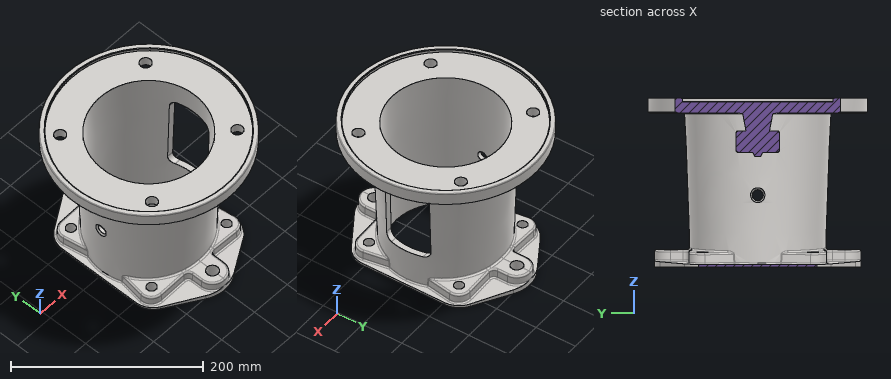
import cadquery as cq
import math

TOTAL_HEIGHT = 176.21

FLANGE_RADIUS = 114.3
FLANGE_THICKNESS = 16.2
FLANGE_BACK_CHAMFER_RADIAL = 3.0
FLANGE_BACK_CHAMFER_AXIAL = 1.5
FLANGE_RIM_FILLET = 0.8
PILOT_RADIUS = 107.95
PILOT_DEPTH = 4.0
PILOT_CHAMFER = 0.8
MOTOR_BOLT_CIRCLE_RADIUS = 92.1
MOTOR_BOLT_HOLE_DIAMETER = 13.5

BARREL_TOP_RADIUS = 76.3
BARREL_BOTTOM_RADIUS = 70.5
BARREL_NECK_FILLET = 1.2
BORE_TOP_RADIUS = 68.6
BORE_BOTTOM_RADIUS = 63.5

RIDGE_SLOPE = math.radians(3.0)
PLATE_RIDGE_HEIGHT = 7.0
PLATE_SIDE_X = 76.3
PLATE_CORNER_RADIUS = 28.0
PLATE_CORNER_CENTER_X = PLATE_SIDE_X - PLATE_CORNER_RADIUS
PLATE_CORNER_CENTER_Y = 52.0
PLATE_END_RADIUS = 41.0
PLATE_END_Y = 107.4

BOSS_RIDGE_HEIGHT = 18.8
BOSS_EDGE_FILLET = 2.0
BARREL_ROOT_FILLET = 2.0
BOSS_ROOT_FILLET = 1.6
BOSS_INSIDE_FILLET = 6.0
CORNER_BOLT_OFFSET = 57.25
CORNER_BOLT_HOLE_DIAMETER = 11.5
CORNER_BOSS_RADIUS = 14.2
CORNER_BOSS_SIDE_TILT = math.radians(9.0)
END_BOLT_OFFSET = 90.5
END_BOLT_HOLE_DIAMETER = 14.3
END_BOSS_RADIUS = PLATE_END_Y - END_BOLT_OFFSET

WINDOW_WIDTH = 56.0
WINDOW_BOTTOM_Z = 45.3
WINDOW_TOP_Z = 143.5
WINDOW_CORNER_RADIUS = 8.0

SIDE_HOLE_Z = 75.0
SIDE_HOLE_DIAMETER = 11.0
SIDE_HOLE_MOUTH_DIAMETER = 15.5
PAD_WIDTH = 45.5
PAD_BOTTOM_Z = 119.4
PAD_HEIGHT = 22.6
PAD_FACE_X = -76.3
PAD_CORNER_RADIUS = 3.0

STUB_HEIGHT = 40.0
TOLERANCE = 0.01
FLANGE_BOTTOM_Z = TOTAL_HEIGHT - FLANGE_THICKNESS
PILOT_FLOOR_Z = TOTAL_HEIGHT - PILOT_DEPTH


def barrel_radius(z):
    """Outer radius of the tapered barrel at height z."""
    return BARREL_BOTTOM_RADIUS + (BARREL_TOP_RADIUS - BARREL_BOTTOM_RADIUS) * z / FLANGE_BOTTOM_Z


def cylinder(radius, height, x=0, y=0, z=0):
    """Vertical cylinder standing on height z."""
    return cq.Workplane("XY", origin=(x, y, z)).circle(radius).extrude(height)


def make_flange_and_barrel():
    """Revolved flange and tapered barrel, still without the bore."""
    body = (
        cq.Workplane("XZ")
        .lineTo(BARREL_BOTTOM_RADIUS, 0)
        .lineTo(BARREL_TOP_RADIUS, FLANGE_BOTTOM_Z)
        .lineTo(FLANGE_RADIUS - FLANGE_BACK_CHAMFER_RADIAL, FLANGE_BOTTOM_Z)
        .lineTo(FLANGE_RADIUS, FLANGE_BOTTOM_Z + FLANGE_BACK_CHAMFER_AXIAL)
        .lineTo(FLANGE_RADIUS, TOTAL_HEIGHT)
        .lineTo(PILOT_RADIUS, TOTAL_HEIGHT)
        .lineTo(PILOT_RADIUS, PILOT_FLOOR_Z)
        .lineTo(0, PILOT_FLOOR_Z)
        .close()
        .revolve(360, (0, 0, 0), (0, 1, 0))
    )
    rim_outer = cq.selectors.RadiusNthSelector(-1)
    body = body.faces(">Z").edges(rim_outer).fillet(FLANGE_RIM_FILLET)
    rim_inner = cq.selectors.RadiusNthSelector(0)
    body = body.faces(">Z").edges(rim_inner).chamfer(PILOT_CHAMFER)
    neck = cq.selectors.BoxSelector(
        (-FLANGE_RADIUS, -FLANGE_RADIUS, FLANGE_BOTTOM_Z - 1),
        (FLANGE_RADIUS, FLANGE_RADIUS, FLANGE_BOTTOM_Z + 0.1),
    )
    return body.edges(neck).edges(cq.selectors.RadiusNthSelector(0)).fillet(BARREL_NECK_FILLET)


def sloped_block(ridge_height):
    """Wide block whose flat top has the ridge height at X = 0 and falls toward +X."""
    reach = 1.5 * FLANGE_RADIUS
    drop = reach * math.tan(RIDGE_SLOPE)
    depth = 2 * drop
    return (
        cq.Workplane("XZ")
        .moveTo(-reach, -depth)
        .lineTo(reach, -depth)
        .lineTo(reach, ridge_height - drop)
        .lineTo(-reach, ridge_height + drop)
        .close()
        .extrude(reach, both=True)
    )


def plate_tangent_normal():
    """Outward normal of the line touching the +X+Y corner arc and the +Y end arc."""
    to_end_x = -PLATE_CORNER_CENTER_X
    to_end_y = PLATE_END_Y - PLATE_END_RADIUS - PLATE_CORNER_CENTER_Y
    distance = math.hypot(to_end_x, to_end_y)
    angle = math.atan2(to_end_y, to_end_x) - math.acos((PLATE_CORNER_RADIUS - PLATE_END_RADIUS) / distance)
    return math.cos(angle), math.sin(angle)


def make_plate_outline(height):
    """Prism of the six-cornered plate with rounded corners and broad rounded ends."""
    nx, ny = plate_tangent_normal()
    corner_x = PLATE_CORNER_CENTER_X + PLATE_CORNER_RADIUS * nx
    corner_y = PLATE_CORNER_CENTER_Y + PLATE_CORNER_RADIUS * ny
    end_x = PLATE_END_RADIUS * nx
    end_y = PLATE_END_Y - PLATE_END_RADIUS * (1 - ny)
    return (
        cq.Workplane("XY")
        .moveTo(PLATE_SIDE_X, PLATE_CORNER_CENTER_Y)
        .radiusArc((corner_x, corner_y), -PLATE_CORNER_RADIUS)
        .lineTo(end_x, end_y)
        .threePointArc((0, PLATE_END_Y), (-end_x, end_y))
        .lineTo(-corner_x, corner_y)
        .radiusArc((-PLATE_SIDE_X, PLATE_CORNER_CENTER_Y), -PLATE_CORNER_RADIUS)
        .lineTo(-PLATE_SIDE_X, -PLATE_CORNER_CENTER_Y)
        .radiusArc((-corner_x, -corner_y), -PLATE_CORNER_RADIUS)
        .lineTo(-end_x, -end_y)
        .threePointArc((0, -PLATE_END_Y), (end_x, -end_y))
        .lineTo(corner_x, -corner_y)
        .radiusArc((PLATE_SIDE_X, -PLATE_CORNER_CENTER_Y), -PLATE_CORNER_RADIUS)
        .close()
        .extrude(height)
    )


def make_end_bosses():
    """Two corner bosses and an end boss joined across the +Y end of the plate."""
    reach = CORNER_BOLT_OFFSET + CORNER_BOSS_RADIUS
    side_x = CORNER_BOLT_OFFSET + CORNER_BOSS_RADIUS * math.cos(CORNER_BOSS_SIDE_TILT)
    side_y = CORNER_BOLT_OFFSET - CORNER_BOSS_RADIUS * math.sin(CORNER_BOSS_SIDE_TILT)
    inner_y = 15.0
    inner_x = side_x - (side_y - inner_y) * math.tan(CORNER_BOSS_SIDE_TILT)
    bosses = (
        cq.Workplane("XY")
        .moveTo(-inner_x, inner_y)
        .lineTo(-side_x, side_y)
        .radiusArc((-CORNER_BOLT_OFFSET, reach), CORNER_BOSS_RADIUS)
        .lineTo(-END_BOSS_RADIUS, reach)
        .lineTo(-END_BOSS_RADIUS, END_BOLT_OFFSET)
        .threePointArc((0, PLATE_END_Y), (END_BOSS_RADIUS, END_BOLT_OFFSET))
        .lineTo(END_BOSS_RADIUS, reach)
        .lineTo(CORNER_BOLT_OFFSET, reach)
        .radiusArc((side_x, side_y), CORNER_BOSS_RADIUS)
        .lineTo(inner_x, inner_y)
        .close()
        .extrude(2 * BOSS_RIDGE_HEIGHT)
    )
    notch = cq.selectors.BoxSelector(
        (-END_BOSS_RADIUS - 1, reach - 1, 0), (END_BOSS_RADIUS + 1, reach + 1, 2 * BOSS_RIDGE_HEIGHT)
    )
    bosses = bosses.edges("|Z").edges(notch).fillet(BOSS_INSIDE_FILLET)
    return bosses.intersect(sloped_block(BOSS_RIDGE_HEIGHT))


def sloped_faces(body):
    """Flat faces of the body that are parallel to the +X side of the ridge."""
    normal = cq.Vector(math.sin(RIDGE_SLOPE), 0, math.cos(RIDGE_SLOPE))
    return body.faces(cq.selectors.DirectionSelector(normal)).vals()


def is_on_barrel(edge):
    """True if the edge starts and passes halfway on the outer surface of the barrel."""
    points = (edge.startPoint(), edge.positionAt(0.5))
    return all(abs(math.hypot(p.x, p.y) - barrel_radius(p.z)) < TOLERANCE for p in points)


def make_foot_half():
    """The +X half of the plate with its bosses and the root of the barrel."""
    stub = (
        cq.Workplane("XZ")
        .lineTo(barrel_radius(0), 0)
        .lineTo(barrel_radius(STUB_HEIGHT), STUB_HEIGHT)
        .lineTo(0, STUB_HEIGHT)
        .close()
        .revolve(360, (0, 0, 0), (0, 1, 0))
    )
    end_bosses = make_end_bosses()
    foot = stub.union(end_bosses).union(end_bosses.mirror("XZ"))
    rim = [edge for face in sloped_faces(foot) for edge in face.Edges() if not is_on_barrel(edge)]
    foot = foot.newObject(rim).fillet(BOSS_EDGE_FILLET)
    seam = [
        edge for edge in foot.edges().vals()
        if is_on_barrel(edge) and 0.5 * PLATE_RIDGE_HEIGHT < edge.Center().z < STUB_HEIGHT - 1
    ]
    foot = foot.newObject(seam).fillet(BARREL_ROOT_FILLET)
    foot = foot.union(sloped_block(PLATE_RIDGE_HEIGHT))
    plate_top = max(sloped_faces(foot), key=lambda face: face.Area())
    foot_line = plate_top.innerWires()[0].Edges()
    foot = foot.newObject(foot_line).fillet(BOSS_ROOT_FILLET)
    foot = foot.intersect(make_plate_outline(STUB_HEIGHT))
    half_space = cq.Workplane("XY").box(
        FLANGE_RADIUS, 2 * FLANGE_RADIUS, STUB_HEIGHT, centered=(False, True, False)
    )
    return foot.intersect(half_space)


def make_foot():
    """Whole plate with its bosses, mirrored from the +X half."""
    half = make_foot_half()
    return half.union(half.mirror("YZ"))


def make_nameplate_pad():
    """Flat raised pad on the -X side of the barrel."""
    pad_depth = 10.0
    return (
        cq.Workplane("YZ", origin=(PAD_FACE_X, 0, PAD_BOTTOM_Z + PAD_HEIGHT / 2))
        .rect(PAD_WIDTH, PAD_HEIGHT)
        .extrude(pad_depth)
        .edges("|X")
        .fillet(PAD_CORNER_RADIUS)
    )


def make_bore():
    """Tapered bore through the whole part."""
    return (
        cq.Workplane("XZ")
        .lineTo(BORE_BOTTOM_RADIUS, 0)
        .lineTo(BORE_TOP_RADIUS, PILOT_FLOOR_Z)
        .lineTo(0, PILOT_FLOOR_Z)
        .close()
        .revolve(360, (0, 0, 0), (0, 1, 0))
    )


def make_window():
    """Rounded access window through the +X wall."""
    height = WINDOW_TOP_Z - WINDOW_BOTTOM_Z
    return (
        cq.Workplane("YZ", origin=(0, 0, WINDOW_BOTTOM_Z + height / 2))
        .rect(WINDOW_WIDTH, height)
        .extrude(FLANGE_RADIUS)
        .edges("|X")
        .fillet(WINDOW_CORNER_RADIUS)
    )


def make_side_hole():
    """Hole through the -X wall with a 45 degree countersunk mouth."""
    hole_radius = SIDE_HOLE_DIAMETER / 2
    mouth_radius = SIDE_HOLE_MOUTH_DIAMETER / 2
    sink = mouth_radius - hole_radius
    surface = barrel_radius(SIDE_HOLE_Z)
    plane = cq.Plane(origin=(-surface, 0, SIDE_HOLE_Z), xDir=(0, 1, 0), normal=(1, 0, 0))
    hole = cq.Workplane(plane).circle(hole_radius).extrude(surface)
    cone = cq.Solid.makeCone(
        mouth_radius, hole_radius, sink, cq.Vector(-surface, 0, SIDE_HOLE_Z), cq.Vector(1, 0, 0)
    )
    mouth = cq.Workplane(plane).circle(mouth_radius).extrude(-sink)
    return hole.union(cq.Workplane(obj=cone)).union(mouth)


def make_bolt_holes():
    """Motor flange holes, corner boss holes and end boss holes."""
    holes = cq.Workplane("XY")
    motor = MOTOR_BOLT_CIRCLE_RADIUS * math.sqrt(0.5)
    for sx in (-1, 1):
        for sy in (-1, 1):
            holes = holes.union(cylinder(
                MOTOR_BOLT_HOLE_DIAMETER / 2, FLANGE_THICKNESS, sx * motor, sy * motor, FLANGE_BOTTOM_Z))
            holes = holes.union(cylinder(
                CORNER_BOLT_HOLE_DIAMETER / 2, BOSS_RIDGE_HEIGHT,
                sx * CORNER_BOLT_OFFSET, sy * CORNER_BOLT_OFFSET))
    for sy in (-1, 1):
        holes = holes.union(cylinder(END_BOLT_HOLE_DIAMETER / 2, BOSS_RIDGE_HEIGHT, 0, sy * END_BOLT_OFFSET))
    return holes


result = (
    make_flange_and_barrel()
    .union(make_foot())
    .union(make_nameplate_pad())
    .cut(make_bore())
    .cut(make_window())
    .cut(make_side_hole())
    .cut(make_bolt_holes())
)